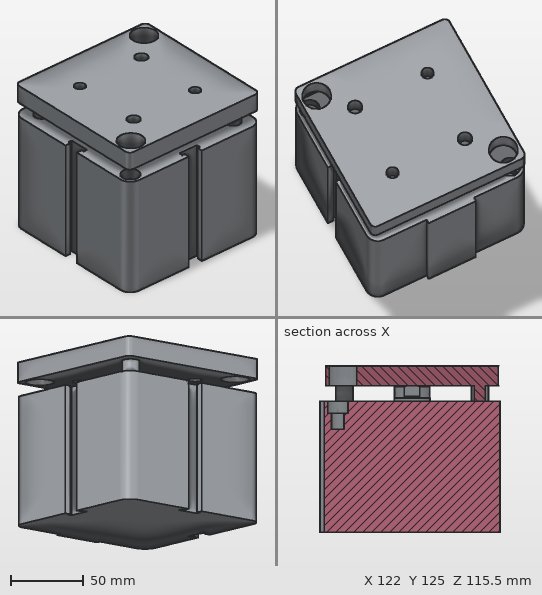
import cadquery as cq
import math

HOUSING_SIDE = 122.0
HOUSING_HEIGHT = 91.0
HOUSING_CORNER_RADIUS = 9.0

RAIL_WIDTH = 37.0
RAIL_PROJECTION = 3.0
RAIL_EDGE_RADIUS = 0.5

SLOT_OPENING = 12.0
SLOT_INNER_WIDTH = 16.0
SLOT_LIP = 4.5
SLOT_DEPTH = 7.5
SLOT_SIDE_ANGLES = (0, 90, 270)

MOUNT_OFFSET = 51.5
MOUNT_HOLE_DIAMETER = 8.5
MOUNT_BORE_DIAMETER = 14.0
MOUNT_BORE_DEPTH = 8.2
MOUNT_HOLE_DEPTH = 19.5

PLATE_SIDE = 120
PLATE_THICKNESS = 14.0
PLATE_CORNER_RADIUS = 4.0
PLATE_GAP = 10.5
PLATE_BOTTOM = HOUSING_HEIGHT + PLATE_GAP

ACCESS_OFFSET = 48.0
ACCESS_DIAMETER = 20
PATTERN_DIAMETER = 80
THREAD_HOLE_DIAMETER = 8.5
DOWEL_HOLE_DIAMETER = 10

GUIDE_OFFSET = 47.0
GUIDE_DIAMETER = 12.0

ROD_DIAMETER = 24.5
ROD_END_CHAMFER = 0.5
COLLAR_DIAMETER = 25
COLLAR_HEIGHT = 2.2
COLLAR_CHAMFER = (COLLAR_DIAMETER - ROD_DIAMETER) / 2
FLATS_WIDTH = 22.0
FLATS_HEIGHT = 7.0


def falling_diagonal(offset):
    """Two points in the (-X, +Y) and (+X, -Y) corners."""
    return [(-offset, offset), (offset, -offset)]


def rising_diagonal(offset):
    """Two points in the (-X, -Y) and (+X, +Y) corners."""
    return [(-offset, -offset), (offset, offset)]


def make_slot_cutter():
    """T-slot running the full housing height, open on the -Y side."""
    face_y = -HOUSING_SIDE / 2
    opening = (
        cq.Workplane("XY")
        .center(0, face_y + SLOT_DEPTH / 2)
        .rect(SLOT_OPENING, SLOT_DEPTH)
        .extrude(HOUSING_HEIGHT)
    )
    undercut_depth = SLOT_DEPTH - SLOT_LIP
    undercut = (
        cq.Workplane("XY")
        .center(0, face_y + SLOT_LIP + undercut_depth / 2)
        .rect(SLOT_INNER_WIDTH, undercut_depth)
        .extrude(HOUSING_HEIGHT)
    )
    return opening.union(undercut)


def make_rail():
    """Rail on the +Y side, rooted inside the block so that the two fuse."""
    root_y = HOUSING_SIDE / 2 - RAIL_PROJECTION
    outer_y = HOUSING_SIDE / 2 + RAIL_PROJECTION
    return (
        cq.Workplane("XY")
        .center(0, (root_y + outer_y) / 2)
        .rect(RAIL_WIDTH, outer_y - root_y)
        .extrude(HOUSING_HEIGHT)
        .edges("|Z and >Y")
        .fillet(RAIL_EDGE_RADIUS)
    )


def make_housing():
    block = (
        cq.Workplane("XY")
        .rect(HOUSING_SIDE, HOUSING_SIDE)
        .extrude(HOUSING_HEIGHT)
        .edges("|Z")
        .fillet(HOUSING_CORNER_RADIUS)
    )
    body = block.union(make_rail())

    slot = make_slot_cutter()
    for angle in SLOT_SIDE_ANGLES:
        body = body.cut(slot.rotate((0, 0, 0), (0, 0, 1), angle))

    return (
        body.faces(">Z")
        .workplane(origin=(0, 0, HOUSING_HEIGHT))
        .pushPoints(falling_diagonal(MOUNT_OFFSET))
        .cboreHole(MOUNT_HOLE_DIAMETER, MOUNT_BORE_DIAMETER, MOUNT_BORE_DEPTH, MOUNT_HOLE_DEPTH)
    )


def make_plate():
    pattern_offset = PATTERN_DIAMETER / 2 * math.cos(math.radians(45))
    holes = [
        (falling_diagonal(ACCESS_OFFSET), ACCESS_DIAMETER),
        (falling_diagonal(pattern_offset), DOWEL_HOLE_DIAMETER),
        (rising_diagonal(pattern_offset), THREAD_HOLE_DIAMETER),
    ]
    plate = (
        cq.Workplane("XY", origin=(0, 0, PLATE_BOTTOM))
        .rect(PLATE_SIDE, PLATE_SIDE)
        .extrude(PLATE_THICKNESS)
        .edges("|Z")
        .fillet(PLATE_CORNER_RADIUS)
    )
    for points, diameter in holes:
        plate = plate.faces(">Z").workplane(origin=(0, 0, 0)).pushPoints(points).hole(diameter)
    return plate


def make_guide_rods():
    return (
        cq.Workplane("XY", origin=(0, 0, HOUSING_HEIGHT))
        .pushPoints(rising_diagonal(GUIDE_OFFSET))
        .circle(GUIDE_DIAMETER / 2)
        .extrude(PLATE_GAP)
    )


def make_piston_rod():
    collar = (
        cq.Workplane("XY", origin=(0, 0, HOUSING_HEIGHT))
        .circle(COLLAR_DIAMETER / 2)
        .extrude(COLLAR_HEIGHT)
        .faces(">Z")
        .chamfer(COLLAR_CHAMFER)
    )
    rod = (
        cq.Workplane("XY", origin=(0, 0, HOUSING_HEIGHT))
        .circle(ROD_DIAMETER / 2)
        .extrude(PLATE_GAP)
        .faces(">Z")
        .chamfer(ROD_END_CHAMFER)
    )
    flats_bottom = PLATE_BOTTOM - FLATS_HEIGHT
    outside_flats = (
        cq.Workplane("XY", origin=(0, 0, flats_bottom))
        .rect(COLLAR_DIAMETER, COLLAR_DIAMETER)
        .rect(FLATS_WIDTH, COLLAR_DIAMETER)
        .extrude(FLATS_HEIGHT)
    )
    return rod.cut(outside_flats).union(collar)


def make_moving_plate():
    """Plate, guide rods and piston rod as one body resting on the housing top."""
    return make_plate().union(make_guide_rods()).union(make_piston_rod())


housing = make_housing()
moving_plate = make_moving_plate()

result = cq.Compound.makeCompound([housing.val(), moving_plate.val()])